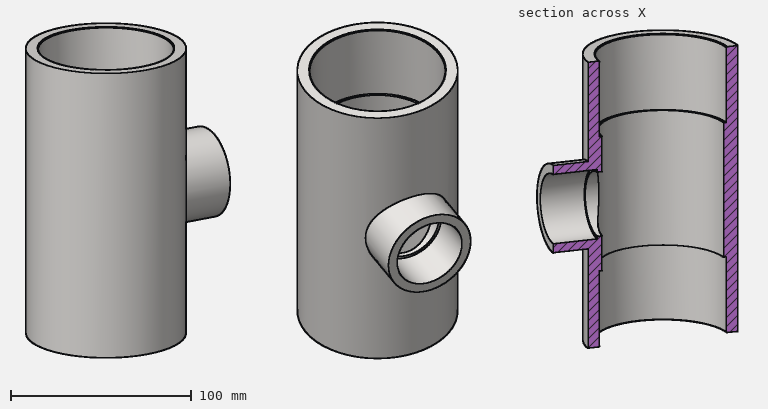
import cadquery as cq

run_length = 166.0
run_diameter = 89.0
run_bore_diameter = 72.0
run_socket_diameter = 75.0
run_socket_depth = 44.0
mouth_chamfer = 0.5

branch_reach = 65.0
branch_diameter = 51.0
branch_bore_diameter = 37.0
branch_socket_diameter = 40.0
branch_socket_depth = 26.0


def run_cylinder(diameter, length):
    """Cylinder along Z, centred on the origin."""
    return cq.Workplane("XY").circle(diameter / 2).extrude(length / 2, both=True)


def branch_cylinder(diameter, start, end):
    """Cylinder along +Y between two distances from the run axis."""
    plane = cq.Workplane("XZ").workplane(offset=-start)
    return plane.circle(diameter / 2).extrude(start - end)


body = run_cylinder(run_diameter, run_length)
body = body.union(branch_cylinder(branch_diameter, 0, branch_reach))

body = body.cut(run_cylinder(run_bore_diameter, run_length))
run_socket = cq.Workplane("XY").circle(run_socket_diameter / 2).extrude(run_socket_depth)
for socket_bottom in (-run_length / 2, run_length / 2 - run_socket_depth):
    body = body.cut(run_socket.translate((0, 0, socket_bottom)))

smallest_circles = cq.selectors.RadiusNthSelector(0)
body = body.faces("<Z or >Z").edges(smallest_circles).chamfer(mouth_chamfer)

body = body.cut(branch_cylinder(branch_bore_diameter, 0, branch_reach))
branch_socket_floor = branch_reach - branch_socket_depth
body = body.cut(branch_cylinder(branch_socket_diameter, branch_socket_floor, branch_reach))

result = body